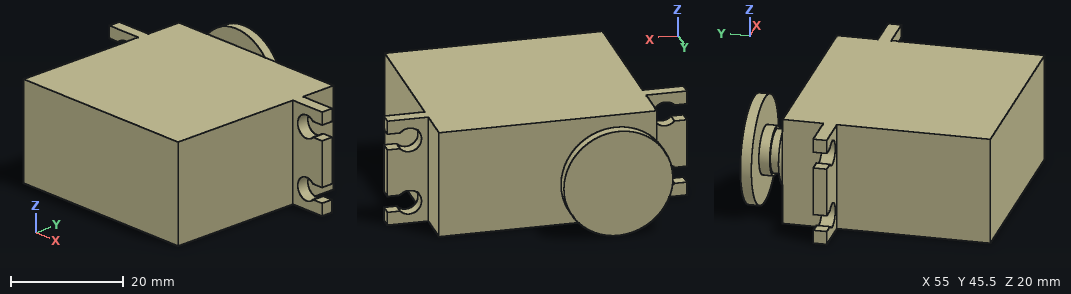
import cadquery as cq

overall_length = 55.0
case_length = 40.0
case_depth = 38.0
case_height = 20.0

ear_thickness = 2.5
ear_setback = 7.5
hole_diameter = 4.5
hole_edge_distance = 4.0
hole_spacing = 12.0
slot_width = 3.0

shaft_inset = 9.0
collar_diameter = 12.0
collar_height = 1.5
shaft_diameter = 8.05
shaft_length = 2.0

hub_diameter = 9.0
hub_height = 2.0
disc_diameter = case_height
disc_thickness = 2.05

shaft_x = -case_length / 2 + shaft_inset
ear_y = -ear_setback - ear_thickness / 2
hole_x = overall_length / 2 - hole_edge_distance
shaft_end_y = collar_height + shaft_length


def round_step(diameter, length, start_y):
    """Cylinder on the shaft axis, running towards +Y from start_y."""
    plane = cq.Plane(origin=(shaft_x, start_y, 0), xDir=(1, 0, 0), normal=(0, 1, 0))
    return cq.Workplane(plane).circle(diameter / 2).extrude(length)


def ear_notch(side, hole_z):
    """Keyhole cutter: a round hole with a slot out to the ear's edge."""
    plane = cq.Plane(
        origin=(side * hole_x, -ear_setback, hole_z), xDir=(1, 0, 0), normal=(0, -1, 0)
    )
    hole = cq.Workplane(plane).circle(hole_diameter / 2).extrude(ear_thickness)
    slot = (
        cq.Workplane(plane)
        .center(side * hole_edge_distance / 2, 0)
        .rect(hole_edge_distance, slot_width)
        .extrude(ear_thickness)
    )
    return hole.union(slot)


def make_servo():
    """Case with notched ears, collar and output shaft."""
    case = cq.Workplane("XY").box(case_length, case_depth, case_height)
    case = case.translate((0, -case_depth / 2, 0))
    ears = cq.Workplane("XY").box(overall_length, ear_thickness, case_height)
    servo = case.union(ears.translate((0, ear_y, 0)))
    for side in (-1, 1):
        for hole_z in (-hole_spacing / 2, hole_spacing / 2):
            servo = servo.cut(ear_notch(side, hole_z))
    servo = servo.union(round_step(collar_diameter, collar_height, 0))
    return servo.union(round_step(shaft_diameter, shaft_length, collar_height))


def make_horn():
    """Hub seated on the shaft end, carrying the disc."""
    hub = round_step(hub_diameter, hub_height, shaft_end_y)
    return hub.union(round_step(disc_diameter, disc_thickness, shaft_end_y + hub_height))


servo = make_servo()
horn = make_horn()

result = cq.Compound.makeCompound([servo.val(), horn.val()])